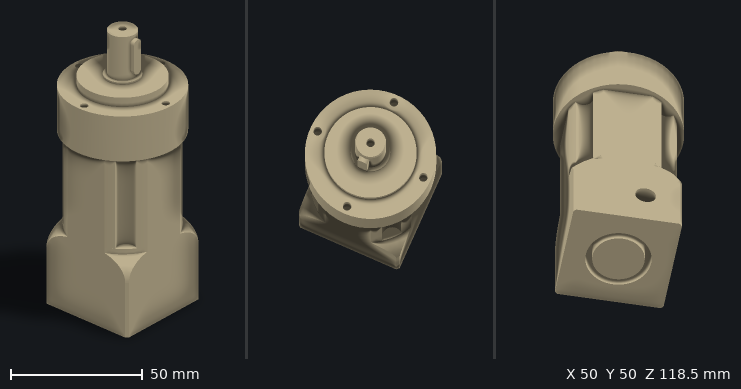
import cadquery as cq
import math

BLOCK_TOP = 35.2
FLANGE_BOTTOM = 74.5
FLANGE_TOP = 94.1
PILOT_TOP = 98.1
COLLAR_TOP = 99.1
SHAFT_TOP = 118.5

BODY_WIDTH = 42.0
BODY_ROUND_DIAMETER = 46.0

CORNER_DIAMETER = 58.0
NECK_HEIGHT = 2.3
SHOULDER_RADIUS = 10.0
BORE_DIAMETER = 25.2
ACCESS_HOLE_DIAMETER = 8.0
ACCESS_HOLE_Y = -6.8
ACCESS_HOLE_Z = 14.5

FLANGE_DIAMETER = 50.0
PILOT_DIAMETER = 35.1
GROOVE_DIAMETER = 8.0
CORNER_ANGLES = (45, 135, 225, 315)
FLANGE_HOLE_CIRCLE = 44.0
FLANGE_HOLE_ANGLES = (0, 90, 180, 270)
FLANGE_HOLE_DEPTH = 9.5

HUB_DIAMETER = 20.0

SHAFT_DIAMETER = 12.0
SHAFT_CHAMFER = 0.5
COLLAR_DIAMETER = 15.0
CENTRE_HOLE_DEPTH = 9.5
KEY_WIDTH = 4.0
KEY_LENGTH = 15.0
KEY_BOTTOM = 101.4
KEY_OUTER_X = 7.7

TAP_DIAMETER = 3.3
DRILL_TIP_ANGLE = 118


def cylinder(diameter, bottom, top):
    """Upright cylinder on the gearbox axis."""
    return cq.Workplane("XY", origin=(0, 0, bottom)).circle(diameter / 2).extrude(top - bottom)


def square_bar(bottom, top):
    """Upright bar with the square section of the body."""
    return cq.Workplane("XY", origin=(0, 0, bottom)).rect(BODY_WIDTH, BODY_WIDTH).extrude(top - bottom)


def drilled_hole(x, y, top, depth):
    """Cutter for a vertical blind hole; depth is measured to the start of the drill tip."""
    radius = TAP_DIAMETER / 2
    tip_height = radius / math.tan(math.radians(DRILL_TIP_ANGLE / 2))
    profile = [(0, 0), (radius, 0), (radius, -depth), (0, -depth - tip_height)]
    cutter = cq.Workplane("XZ").polyline(profile).close().revolve(360, (0, 0), (0, 1))
    return cutter.translate((x, y, top))


def polar_point(radius, angle):
    """X and Y of a point at the given radius and angle in degrees."""
    return radius * math.cos(math.radians(angle)), radius * math.sin(math.radians(angle))


def make_block():
    """Square block whose corners round up into a turned neck."""
    corner_radius = CORNER_DIAMETER / 2
    neck_radius = BODY_ROUND_DIAMETER / 2
    neck_bottom = BLOCK_TOP - NECK_HEIGHT

    arc_centre_r = corner_radius - SHOULDER_RADIUS
    arc_end_angle = math.acos((neck_radius - arc_centre_r) / SHOULDER_RADIUS)
    arc_bottom = neck_bottom - SHOULDER_RADIUS * math.sin(arc_end_angle)
    arc_middle = (
        arc_centre_r + SHOULDER_RADIUS * math.cos(arc_end_angle / 2),
        arc_bottom + SHOULDER_RADIUS * math.sin(arc_end_angle / 2),
    )
    turned_envelope = (
        cq.Workplane("XZ")
        .moveTo(0, 0)
        .lineTo(corner_radius, 0)
        .lineTo(corner_radius, arc_bottom)
        .threePointArc(arc_middle, (neck_radius, neck_bottom))
        .lineTo(neck_radius, BLOCK_TOP)
        .lineTo(0, BLOCK_TOP)
        .close()
        .revolve(360, (0, 0), (0, 1))
    )
    block = square_bar(0, BLOCK_TOP).intersect(turned_envelope)

    block = block.cut(cylinder(BORE_DIAMETER, 0, BLOCK_TOP))
    access_hole = (
        cq.Workplane("YZ", origin=(-BODY_WIDTH / 2, ACCESS_HOLE_Y, ACCESS_HOLE_Z))
        .circle(ACCESS_HOLE_DIAMETER / 2)
        .extrude(BODY_WIDTH / 2)
    )
    return block.cut(access_hole)


def make_housing():
    """Grooved gear housing with its output flange and pilot."""
    housing = square_bar(BLOCK_TOP, FLANGE_BOTTOM)
    housing = housing.intersect(cylinder(BODY_ROUND_DIAMETER, BLOCK_TOP, FLANGE_BOTTOM))
    for angle in CORNER_ANGLES:
        x, y = polar_point(BODY_ROUND_DIAMETER / 2, angle)
        housing = housing.cut(cylinder(GROOVE_DIAMETER, BLOCK_TOP, FLANGE_BOTTOM).translate((x, y, 0)))

    housing = housing.union(cylinder(FLANGE_DIAMETER, FLANGE_BOTTOM, FLANGE_TOP))
    housing = housing.union(cylinder(PILOT_DIAMETER, FLANGE_TOP, PILOT_TOP))
    for angle in FLANGE_HOLE_ANGLES:
        x, y = polar_point(FLANGE_HOLE_CIRCLE / 2, angle)
        housing = housing.cut(drilled_hole(x, y, FLANGE_TOP, FLANGE_HOLE_DEPTH))
    return housing


def make_output_shaft():
    """Output shaft standing on a collar, with a round-ended key on its +X side."""
    shaft = cylinder(SHAFT_DIAMETER, COLLAR_TOP, SHAFT_TOP).faces(">Z").chamfer(SHAFT_CHAMFER)
    collar = cylinder(COLLAR_DIAMETER, PILOT_TOP, COLLAR_TOP)
    key = (
        cq.Workplane("YZ")
        .center(0, KEY_BOTTOM + KEY_LENGTH / 2)
        .slot2D(KEY_LENGTH, KEY_WIDTH, 90)
        .extrude(KEY_OUTER_X)
    )
    shaft = shaft.union(collar).union(key)
    return shaft.cut(drilled_hole(0, 0, SHAFT_TOP, CENTRE_HOLE_DEPTH))


def make_gearbox():
    """Gear housing and output shaft as one body."""
    return make_housing().union(make_output_shaft())


def make_input_hub():
    """Plain round hub that hangs from the gearbox inside the block's coupling bore."""
    return cylinder(HUB_DIAMETER, 0, BLOCK_TOP)


block = make_block()
gearbox = make_gearbox()
input_hub = make_input_hub()

result = cq.Compound.makeCompound([block.val(), gearbox.val(), input_hub.val()])